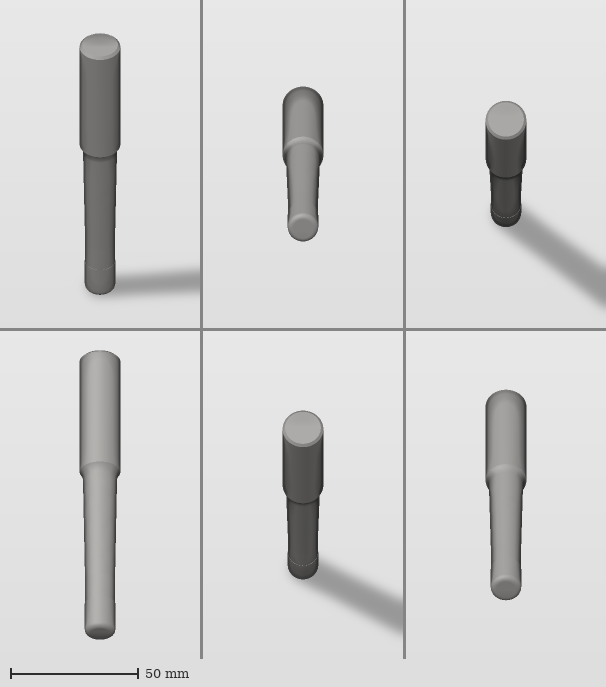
import cadquery as cq
import math

total_length = 125.0

head_diameter = 12.0
head_length = 13.8
tip_corner_radius = 2.0

collar_diameter = 11.8
collar_top = 24.0
neck_top = 70.0
neck_top_diameter = 13.4
transition_radius = 6.0
shank_diameter = 16.0
shank_chamfer = 1.0

head_radius = head_diameter / 2
collar_radius = collar_diameter / 2
neck_top_radius = neck_top_diameter / 2
shank_radius = shank_diameter / 2

flare = shank_radius - neck_top_radius
flare_angle = math.acos(1 - flare / transition_radius)
shank_bottom = neck_top + transition_radius * math.sin(flare_angle)
arc_middle = (
    neck_top_radius + transition_radius * (1 - math.cos(flare_angle / 2)),
    neck_top + transition_radius * math.sin(flare_angle / 2),
)


def make_cutting_head():
    """Cylinder with a rounded lower edge."""
    head = cq.Workplane("XY").circle(head_radius).extrude(head_length)
    return head.faces("<Z").edges().fillet(tip_corner_radius)


def make_holder():
    """Turned holder that sits on the flat top of the cutting head."""
    profile = (
        cq.Workplane("XZ")
        .moveTo(0, head_length)
        .lineTo(collar_radius, head_length)
        .lineTo(collar_radius, collar_top)
        .lineTo(neck_top_radius, neck_top)
        .threePointArc(arc_middle, (shank_radius, shank_bottom))
        .lineTo(shank_radius, total_length)
        .lineTo(0, total_length)
        .close()
    )
    holder = profile.revolve(360, (0, 0), (0, 1))
    return holder.faces(">Z").edges().chamfer(shank_chamfer)


cutting_head = make_cutting_head()
holder = make_holder()

result = cq.Compound.makeCompound([cutting_head.val(), holder.val()])